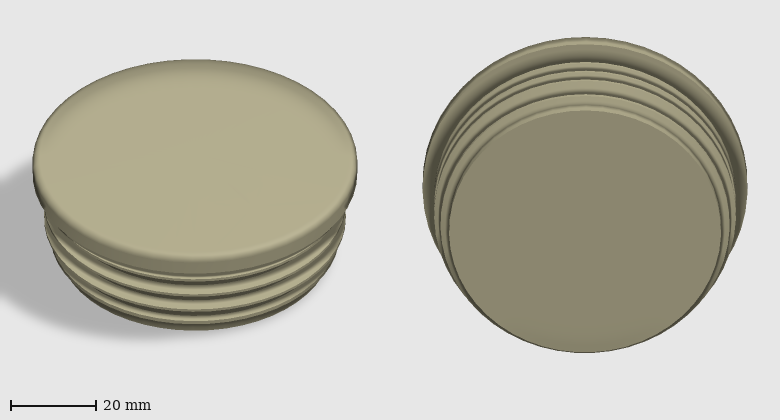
import cadquery as cq

flange_radius = 38.15
flange_bottom = 21.9
flange_edge_round = 1.8
flange_shoulder = 27.0
crown_apex = 27.9

body_radius = 63.9 / 2

rib_radius = 70.9 / 2
rib_rim_height = 0.7
rib_height = 2.05
top_rib_top = 18.1
rib_pitch = 4.5
rib_count = 3
lead_rib_radius = 67.9 / 2
lead_rib_rim_height = 0.9
lead_rib_height = 1.6
lead_rib_top = 4.4


def revolve_profile(profile):
    """Turn a closed radius-height profile around the Z axis."""
    return profile.close().revolve(360, (0, 0, 0), (0, 1, 0))


def make_rib(top, radius, rim_height, height):
    """Ring with a flat top, a short upright rim and a sloping underside."""
    return revolve_profile(
        cq.Workplane("XZ")
        .moveTo(0, top)
        .lineTo(radius, top)
        .lineTo(radius, top - rim_height)
        .lineTo(body_radius, top - height)
        .lineTo(0, top - height)
    )


def make_cap():
    """Flange with a rounded edge and a shallow spherical crown."""
    crown_radius = flange_radius - flange_edge_round
    crown_rise = crown_apex - flange_shoulder
    sphere_radius = (crown_radius**2 + crown_rise**2) / (2 * crown_rise)
    return revolve_profile(
        cq.Workplane("XZ")
        .moveTo(0, flange_bottom)
        .lineTo(flange_radius, flange_bottom)
        .lineTo(flange_radius, flange_shoulder - flange_edge_round)
        .radiusArc((crown_radius, flange_shoulder), -flange_edge_round)
        .radiusArc((0, crown_apex), -sphere_radius)
    )


result = cq.Workplane("XY").circle(body_radius).extrude(flange_bottom).union(make_cap())

for index in range(rib_count):
    rib_top = top_rib_top - index * rib_pitch
    result = result.union(make_rib(rib_top, rib_radius, rib_rim_height, rib_height))

result = result.union(
    make_rib(lead_rib_top, lead_rib_radius, lead_rib_rim_height, lead_rib_height)
)